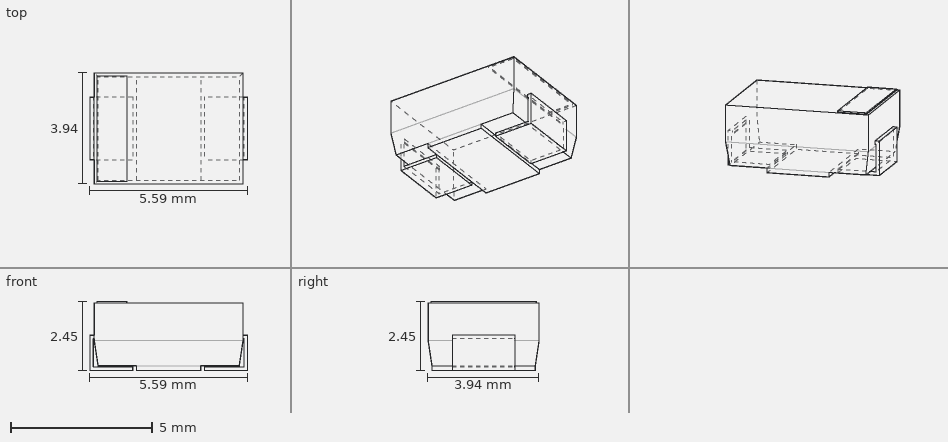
import cadquery as cq

overall_length = 5.59
overall_height = 2.45

housing_length = 5.28
housing_width = 3.94
mark_thickness = 0.05
housing_top = overall_height - mark_thickness
parting_height = 1.06
taper_inset = 0.135
base_length = housing_length - 2 * taper_inset
base_width = housing_width - 2 * taper_inset

standoff_length = 2.29
standoff_height = 0.17

lead_width = 2.22
lead_thickness = 0.13
lead_height = 1.26
lead_foot_length = 1.53

mark_length = 1.06
mark_margin = 0.1
mark_width = housing_width - 2 * mark_margin


def make_housing():
    upper_block = (
        cq.Workplane("XY", origin=(0, 0, parting_height))
        .rect(housing_length, housing_width)
        .extrude(housing_top - parting_height)
    )
    tapered_block = (
        cq.Workplane("XY", origin=(0, 0, standoff_height))
        .rect(base_length, base_width)
        .workplane(offset=parting_height - standoff_height)
        .rect(housing_length, housing_width)
        .loft(ruled=True)
    )
    standoff = (
        cq.Workplane("XY")
        .rect(standoff_length, base_width)
        .extrude(standoff_height)
    )
    return upper_block.union(tapered_block).union(standoff)


def make_lead(side):
    """Lead on the -X (side = -1) or +X (side = 1) end; its top arm butts against the housing."""
    outer_x = side * overall_length / 2
    inner_x = outer_x - side * lead_thickness
    housing_x = side * housing_length / 2
    foot_end_x = outer_x - side * lead_foot_length
    arm_underside = lead_height - lead_thickness
    profile = [
        (foot_end_x, 0),
        (outer_x, 0),
        (outer_x, lead_height),
        (housing_x, lead_height),
        (housing_x, arm_underside),
        (inner_x, arm_underside),
        (inner_x, lead_thickness),
        (foot_end_x, lead_thickness),
    ]
    return cq.Workplane("XZ").polyline(profile).close().extrude(lead_width / 2, both=True)


def make_polarity_mark():
    mark_center_x = -housing_length / 2 + mark_margin + mark_length / 2
    return (
        cq.Workplane("XY", origin=(mark_center_x, 0, housing_top))
        .rect(mark_length, mark_width)
        .extrude(mark_thickness)
    )


housing = make_housing()
leads = [make_lead(side) for side in (-1, 1)]
polarity_mark = make_polarity_mark()

result = cq.Compound.makeCompound(
    [housing.val(), *[lead.val() for lead in leads], polarity_mark.val()]
)